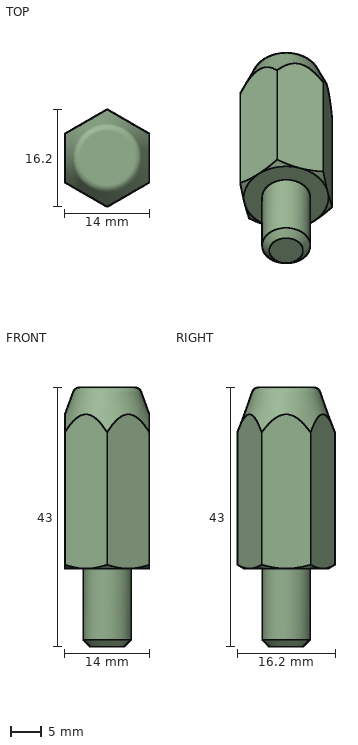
import cadquery as cq
import math

total_height = 43.0
across_flats = 14.0
hexagon_half_sector = 30.0
across_corners = across_flats / math.cos(math.radians(hexagon_half_sector))

stud_length = 13.0
stud_diameter = 8.0
stud_chamfer = 1.2

body_height = total_height - stud_length
cone_top_radius = 5.38
cone_half_angle = 20.0
tip_fillet = 1.2
base_chamfer_angle = 30.0
corner_clearance = 0.45


def hex_prism():
    """Hexagonal bar with two flats facing +X and -X, standing on the XY plane."""
    return (
        cq.Workplane("XY")
        .polygon(6, across_corners)
        .extrude(body_height)
        .rotate((0, 0, 0), (0, 0, 1), hexagon_half_sector)
    )


def turned_envelope():
    """Round blank with a rounded conical tip and a chamfered base, clearing the hexagon corners."""
    base_radius = across_flats / 2
    outer_radius = across_corners / 2 + corner_clearance
    base_rise = (outer_radius - base_radius) * math.tan(math.radians(base_chamfer_angle))
    cone_height = (outer_radius - cone_top_radius) / math.tan(math.radians(cone_half_angle))
    blank = (
        cq.Workplane("XZ")
        .moveTo(0, 0)
        .lineTo(base_radius, 0)
        .lineTo(outer_radius, base_rise)
        .lineTo(outer_radius, body_height - cone_height)
        .lineTo(cone_top_radius, body_height)
        .lineTo(0, body_height)
        .close()
        .revolve(360, (0, 0, 0), (0, 1, 0))
    )
    return blank.faces(">Z").edges().fillet(tip_fillet)


def stud():
    """Cylindrical stud below the body with a chamfered end."""
    return (
        cq.Workplane("XY")
        .circle(stud_diameter / 2)
        .extrude(-stud_length)
        .faces("<Z")
        .chamfer(stud_chamfer)
    )


body = hex_prism().intersect(turned_envelope())
result = body.union(stud())